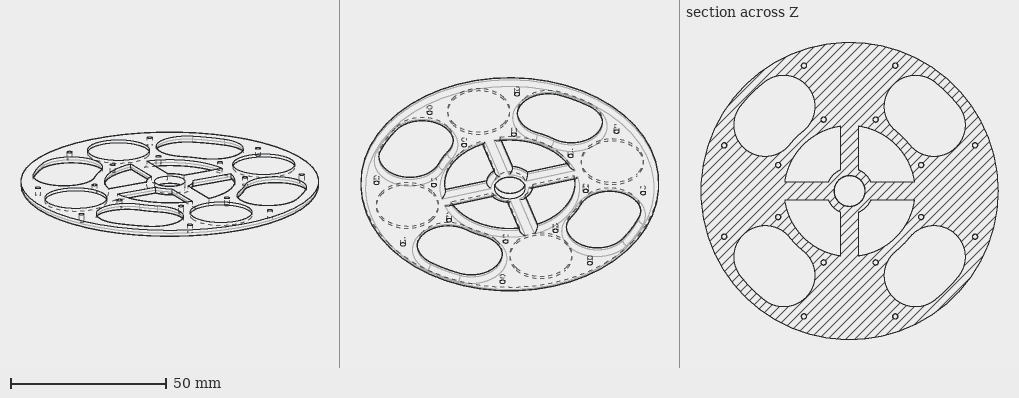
import math

import cadquery as cq

disc_diameter = 96.0
disc_thickness = 2.5
underside_fillet = 1.5

bore_diameter = 9.87
hub_diameter = 15.0
window_ring_diameter = 42.0
spoke_width = 6.0

station_count = 4
station_pitch = 360.0 / station_count
station_radius = 34.5
station_diameter = 20.0
pocket_depth = 1.0
slot_half_angle = 7.0

pin_diameter = 1.62
pin_inner_radius = station_radius - station_diameter / 2
pin_outer_radius = 43.0
pin_angle = 20.0


def polar(radius, angle):
    """Point in the XY plane at a radius and an angle in degrees."""
    return (radius * math.cos(math.radians(angle)), radius * math.sin(math.radians(angle)))


def station_angles(first):
    """Equally spaced angles around the disc."""
    return [first + i * station_pitch for i in range(station_count)]


def make_disc():
    """Plain disc resting on Z = 0."""
    return cq.Workplane("XY").circle(disc_diameter / 2).extrude(disc_thickness)


def make_windows():
    """Ring between hub and rim, split into quadrants by crossed spokes."""
    ring = (
        cq.Workplane("XY")
        .circle(window_ring_diameter / 2)
        .circle(hub_diameter / 2)
        .extrude(disc_thickness)
    )
    spoke_x = cq.Workplane("XY").rect(window_ring_diameter, spoke_width).extrude(disc_thickness)
    spoke_y = cq.Workplane("XY").rect(spoke_width, window_ring_diameter).extrude(disc_thickness)
    return ring.cut(spoke_x).cut(spoke_y)


def make_curved_slot(middle_angle):
    """Slot following the station circle, with round ends."""
    half_width = station_diameter / 2
    inner = station_radius - half_width
    outer = station_radius + half_width
    start = middle_angle - slot_half_angle
    end = middle_angle + slot_half_angle
    start_centre = polar(station_radius, start)
    end_centre = polar(station_radius, end)
    start_reach = polar(half_width, start - 90)
    end_reach = polar(half_width, end + 90)
    start_tip = (start_centre[0] + start_reach[0], start_centre[1] + start_reach[1])
    end_tip = (end_centre[0] + end_reach[0], end_centre[1] + end_reach[1])
    return (
        cq.Workplane("XY")
        .moveTo(*polar(outer, start))
        .threePointArc(polar(outer, middle_angle), polar(outer, end))
        .threePointArc(end_tip, polar(inner, end))
        .threePointArc(polar(inner, middle_angle), polar(inner, start))
        .threePointArc(start_tip, polar(outer, start))
        .close()
        .extrude(disc_thickness)
    )


def make_bore():
    """Central through bore."""
    return cq.Workplane("XY").circle(bore_diameter / 2).extrude(disc_thickness)


def make_pockets():
    """Round blind pockets sunk into the top face, one on each half axis."""
    centres = [polar(station_radius, angle) for angle in station_angles(0)]
    pocket_floor = cq.Workplane("XY").workplane(offset=disc_thickness - pocket_depth)
    return pocket_floor.pushPoints(centres).circle(station_diameter / 2).extrude(pocket_depth)


def make_pin_holes():
    """Small through holes, four around each pocket."""
    centres = []
    for angle in station_angles(0):
        for side in (-pin_angle, pin_angle):
            for radius in (pin_inner_radius, pin_outer_radius):
                centres.append(polar(radius, angle + side))
    return cq.Workplane("XY").pushPoints(centres).circle(pin_diameter / 2).extrude(disc_thickness)


result = make_disc().cut(make_windows())
for slot_angle in station_angles(station_pitch / 2):
    result = result.cut(make_curved_slot(slot_angle))
result = result.faces("<Z").edges().fillet(underside_fillet)

result = result.cut(make_bore())
result = result.cut(make_pockets())
result = result.cut(make_pin_holes())